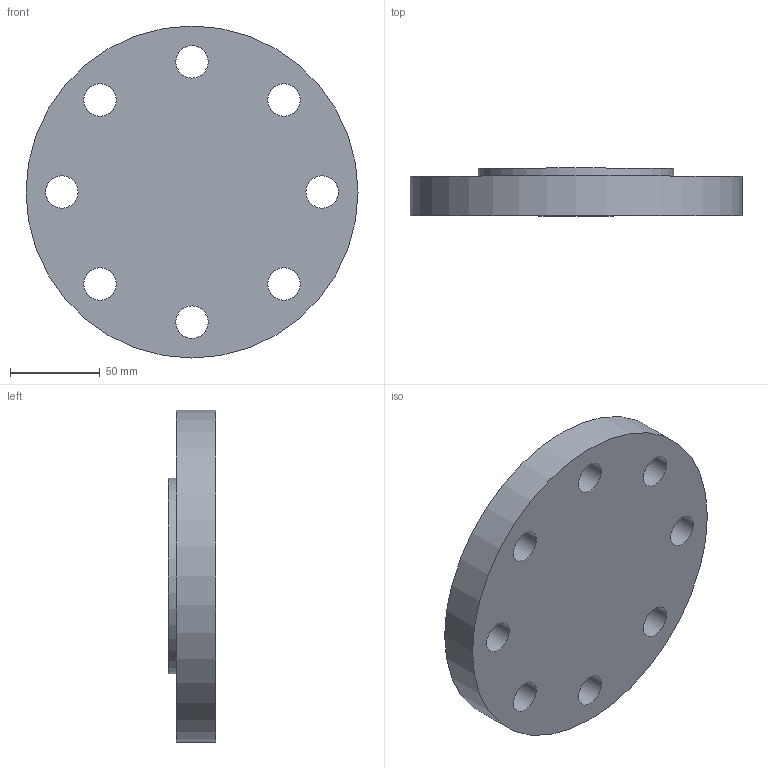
import cadquery as cq

flange_diameter = 185.0
flange_thickness = 22.0
spigot_diameter = 109.0
spigot_height = 4.5

bolt_circle_diameter = 145.0
bolt_hole_diameter = 18.0
bolt_hole_count = 8


def disc(diameter, start_y, length):
    """Solid cylinder around the Y axis, growing toward +Y from start_y."""
    return cq.Workplane("XZ", origin=(0, start_y, 0)).circle(diameter / 2).extrude(-length)


def bolt_holes():
    """Cutters for the ring of bolt holes through the flange."""
    return (
        cq.Workplane("XZ")
        .polarArray(bolt_circle_diameter / 2, 0, 360, bolt_hole_count)
        .circle(bolt_hole_diameter / 2)
        .extrude(-flange_thickness)
    )


flange = disc(flange_diameter, 0, flange_thickness)
spigot = disc(spigot_diameter, flange_thickness, spigot_height)

result = flange.union(spigot).cut(bolt_holes())